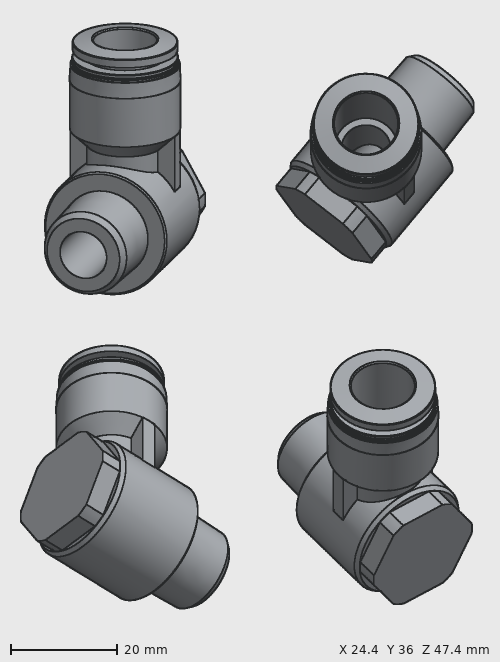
import cadquery as cq


barrel_radius = 24.4 / 2
barrel_back = 8.35
barrel_front = -11.15
barrel_back_chamfer_length = 0.9
barrel_back_chamfer_depth = 0.55
barrel_front_chamfer = 0.35

stem_length = 12.2
stem_base_radius = 8.55
stem_tip_radius = 8.2
stem_end_radius = 7.25
stem_chamfer_length = 1.25
stem_end = barrel_front - stem_length

hex_across_flats = 21.15
hex_corner_radius = 11.5
hex_thickness = 4.3
flat_to_top_angle = 30

neck_radius = 7.25
neck_top = 14.2
socket_radius = 10.45
socket_bottom = 17.35
band_radius = 21.0 / 2
band_bottom = 27.05
band_top = 30.15
band_top_radius = 10.35
lip_radius = 20.0 / 2
lip_groove_radius = 9.8
lip_groove_bottom = 30.53
lip_groove_top = 30.95
lip_top = 31.6
lip_chamfer = 0.15
collar_neck_radius = 15.0 / 2
collar_neck_bevel = 0.2
collar_bottom = 33.05
collar_radius = 19.8 / 2
collar_edge_chamfer = 0.15
collar_crown_height = 0.5
total_height = 47.4
top = total_height - barrel_radius

rib_thickness = 3.05

passage_radius = 9.3 / 2
tube_bore_radius = 12.0 / 2
tube_bore_bottom = socket_bottom
bore_chamfer = 0.3


def cylinder_along_y(radius, y_start, y_end):
    """Cylinder about the Y axis between two Y positions, y_start below y_end."""
    plane = cq.Workplane("XZ", origin=(0, y_end, 0))
    return plane.circle(radius).extrude(y_end - y_start)


def make_barrel_and_stem():
    stem_tip = stem_end + stem_chamfer_length
    profile = [
        (0, stem_end),
        (stem_end_radius, stem_end),
        (stem_tip_radius, stem_tip),
        (stem_base_radius, barrel_front),
        (barrel_radius - barrel_front_chamfer, barrel_front),
        (barrel_radius, barrel_front + barrel_front_chamfer),
        (barrel_radius, barrel_back - barrel_back_chamfer_length),
        (barrel_radius - barrel_back_chamfer_depth, barrel_back),
        (0, barrel_back),
    ]
    return cq.Workplane("XY").polyline(profile).close().revolve(360, (0, 0, 0), (0, 1, 0))


def make_hex_head():
    hex_back = barrel_back + hex_thickness
    head = (
        cq.Workplane("XZ", origin=(0, hex_back, 0))
        .polygon(6, hex_across_flats, circumscribed=True)
        .extrude(hex_thickness)
        .rotate((0, 0, 0), (0, 1, 0), flat_to_top_angle)
    )
    return head.intersect(cylinder_along_y(hex_corner_radius, barrel_back, hex_back))


def make_socket():
    lip_groove_middle = (lip_groove_bottom + lip_groove_top) / 2
    crown_edge = top - collar_crown_height
    profile = [
        (0, 0),
        (neck_radius, 0),
        (neck_radius, neck_top),
        (socket_radius, socket_bottom),
        (socket_radius, band_bottom),
        (band_radius, band_bottom),
        (band_top_radius, band_top),
        (lip_radius, band_top),
        (lip_radius, lip_groove_bottom),
        (lip_groove_radius, lip_groove_middle),
        (lip_radius, lip_groove_top),
        (lip_radius, lip_top - lip_chamfer),
        (lip_radius - lip_chamfer, lip_top),
        (collar_neck_radius, lip_top),
        (collar_neck_radius, collar_bottom - collar_neck_bevel),
        (collar_neck_radius + collar_neck_bevel, collar_bottom),
        (collar_radius, collar_bottom),
        (collar_radius, crown_edge - collar_edge_chamfer),
        (collar_radius - collar_edge_chamfer, crown_edge),
        (tube_bore_radius + bore_chamfer, top),
        (0, top),
    ]
    return cq.Workplane("XZ").polyline(profile).close().revolve(360, (0, 0, 0), (0, 1, 0))


def make_ribs():
    """One plate spanning both sides of the neck, from the barrel up to the socket."""
    return cq.Workplane("XY").box(
        2 * socket_radius, rib_thickness, socket_bottom, centered=(True, True, False)
    )


def make_passages():
    """Elbow passage with a spherical corner, opening into the tube bore."""
    stem_passage = cylinder_along_y(passage_radius, stem_end, 0)
    corner = cq.Workplane("XY").sphere(passage_radius)
    chamfer_start = top - bore_chamfer
    socket_profile = [
        (0, 0),
        (passage_radius, 0),
        (passage_radius, tube_bore_bottom),
        (tube_bore_radius, tube_bore_bottom),
        (tube_bore_radius, chamfer_start),
        (tube_bore_radius + bore_chamfer, top),
        (0, top),
    ]
    socket_passage = (
        cq.Workplane("XZ").polyline(socket_profile).close().revolve(360, (0, 0, 0), (0, 1, 0))
    )
    return socket_passage.union(stem_passage).union(corner)


body = make_barrel_and_stem().union(make_hex_head()).union(make_socket()).union(make_ribs())
result = body.cut(make_passages())